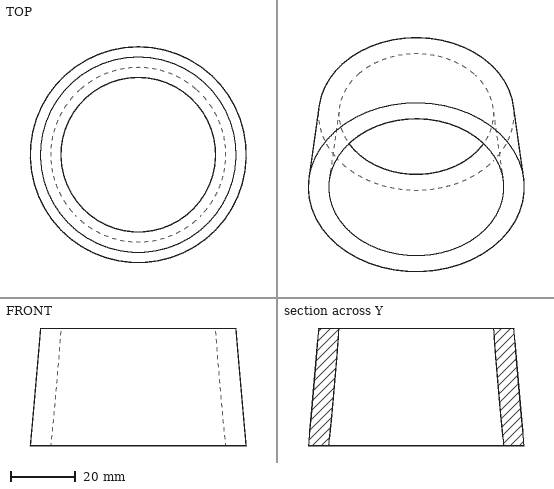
import cadquery as cq

height = 36.29
base_diameter = 66.675
top_diameter = 60.325
wall = 6.35

base_radius = base_diameter / 2
top_radius = top_diameter / 2


def tapered_sleeve():
    """Conical sleeve about Z: the bore narrows upward with the outside, keeping the wall constant."""
    section = (
        cq.Workplane("YZ")
        .moveTo(base_radius - wall, 0)
        .lineTo(base_radius, 0)
        .lineTo(top_radius, height)
        .lineTo(top_radius - wall, height)
        .close()
    )
    return section.revolve(360, (0, 0, 0), (0, 1, 0))


result = tapered_sleeve()